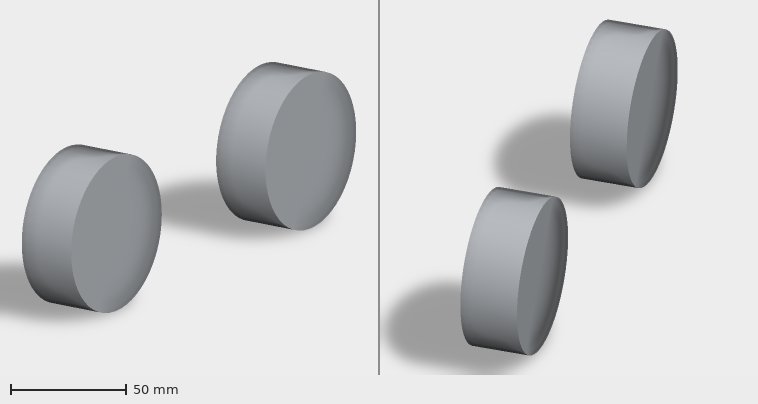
import cadquery as cq

overall_span = 220.0
disc_diameter = 70.0
disc_thickness = 26.0

axis_spacing = overall_span - disc_diameter


def make_disc(y_center):
    """Plain round disc with its axis along X, starting at the YZ plane."""
    return (
        cq.Workplane("YZ")
        .center(y_center, 0)
        .circle(disc_diameter / 2)
        .extrude(disc_thickness)
    )


discs = []
for side in (-1, 1):
    disc = make_disc(side * axis_spacing / 2)
    discs.append(disc.val())

result = cq.Compound.makeCompound(discs)